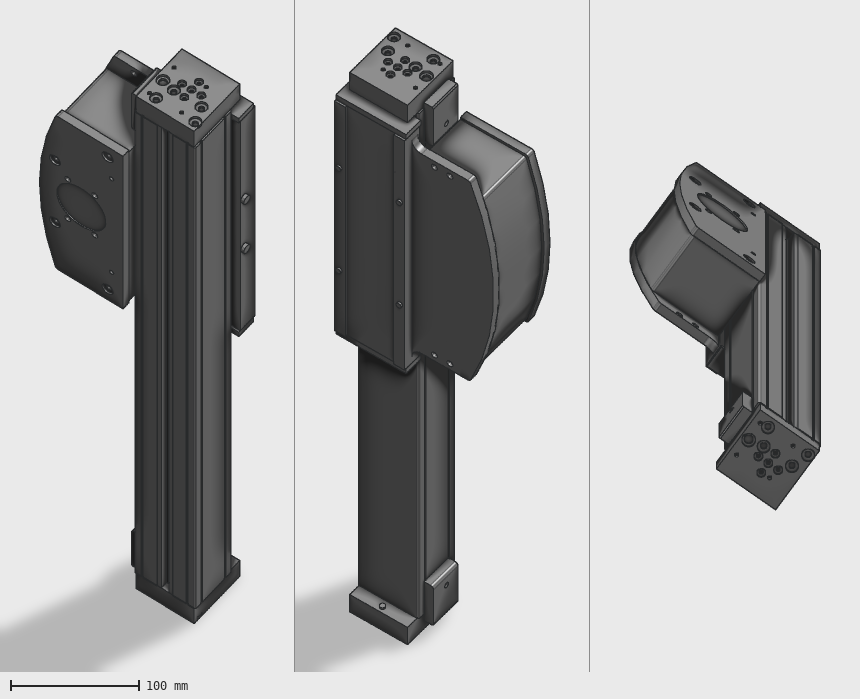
import cadquery as cq


axis_length = 630.0
cap_height = 20.0
cap_width = 57.0
cap_front = 0.5
cap_back = 59.0
rail_width = 60.0
rail_depth = 47.0
rail_length = axis_length - 2 * cap_height
rail_edge_fillet = 2.0
groove_width = 2.0
groove_depth = 1.0
front_groove_offset = 22.0
side_groove_offset = 15.0
slot_land_width = 15.0
slot_land_depth = 0.5
slot_width = 7.5
slot_depth = 7.5
slot_floor_width = 4.0
slot_floor_depth = 2.0
bumper_diameter = 4.9
bumper_length = 2.0
bumper_y = 54.0

cap_hole_depth = 5.0
cap_recess_depth = 2.5
pin_hole_diameter = 3.2
pin_hole_spacing = 31.5
pin_hole_center = (-6.0, 25.0)
cross_hole_diameter = 7.0
cross_bore_diameter = 3.2
cross_hole_spacing = 9.5
cross_center = (2.0, 32.0)
screw_diameter = 10.0
screw_bore_diameter = 5.0
screw_places = [(-9.0, 23.0), (18.0, 23.0), (-15.0, 9.0), (23.0, 9.0)]
large_screw_diameter = 11.0
large_screw_bore_diameter = 7.0
large_screw_place = (-21.5, 26.0)

switch_length = 45.5
switch_outer_end = 302.5
switch_bottom = 9.0
switch_top = 40.5
switch_thickness = 9.5
switch_fillet = 3.0
switch_chamfer = 1.0
switch_hole_diameter = 5.0
switch_hole_depth = 3.0
switch_hole_z = 269.5

carriage_z = 150.0
carriage_length = 268.0
carriage_left = -32.0
carriage_right = 36.5
carriage_bottom = 49.0
carriage_top = 68.0
channel_left = -21.5
channel_right = 26.0
channel_depth = 2.0
bushing_diameter = 5.0
bushing_height = 2.0
bushing_places_x = (-28.0, 31.5)
bushing_offset_z = 60.0
side_pin_diameter = 8.0
side_pin_length = 3.0
side_pin_offset_z = 31.5
side_pin_y = 53.5
wiper_thickness = 5.5
wiper_bottom = rail_depth
wiper_top = carriage_top - channel_depth

arm_thickness = 7.5
arm_bottom = 51.0
arm_half_length = 116.5
arm_root_fillet = 9.5
arm_inset = 2.0
arm_tip_fillet = 3.0
arm_hole_diameter = 5.5
arm_holes_x = (-69.0, -54.0)
arm_hole_offset_z = 109.5

cover_left = -114.0
cover_radius = 304.0
cover_half_length = 97.5
cover_thickness = 7.5
cover_front = -11.5
housing_inset = 2.5
cover_edge_fillet = 3.0
window_x = -73.0
window_diameter = 48.0
window_depth = 1.0
window_screw_diameter = 5.5
window_screw_depth = 3.0
window_screw_offset_x = 13.0
window_screw_offset_z = 25.0
cover_screw_diameter = 11.0
cover_screw_recess = 2.0
cover_bore_diameter = 5.0
cover_screw_places = [(-47.0, 84.5), (-99.0, 40.0)]
dowel_hole_diameter = 4.15
dowel_hole_place = (-43.5, 60.0)

arc_center_x = cover_left + cover_radius
arm_radius = cover_radius - arm_inset
cover_back = cover_front + cover_thickness


def box(x_range, y_range, z_range):
    """Block between the given limits."""
    sizes = [high - low for low, high in (x_range, y_range, z_range)]
    corner = (x_range[0], y_range[0], z_range[0])
    return cq.Workplane("XY").box(*sizes, centered=False).translate(corner)


def rod_y(diameter, x, z, y_start, y_end):
    """Round bar along Y."""
    plane = cq.Workplane("XZ", origin=(x, y_start, z))
    return plane.circle(diameter / 2).extrude(y_start - y_end)


def rod_x(diameter, y, z, x_start, x_end):
    """Round bar along X."""
    plane = cq.Workplane("YZ", origin=(x_start, y, z))
    return plane.circle(diameter / 2).extrude(x_end - x_start)


def bow_plate(radius, half_length, y_start, y_end):
    """Plate with a straight edge along the carriage side and an outer edge bowed about the arc center."""
    tip_x = arc_center_x - (radius**2 - half_length**2) ** 0.5
    outline = (
        cq.Workplane("XZ", origin=(0, y_start, carriage_z))
        .moveTo(carriage_left, -half_length)
        .lineTo(tip_x, -half_length)
        .threePointArc((arc_center_x - radius, 0), (tip_x, half_length))
        .lineTo(carriage_left, half_length)
        .close()
    )
    return outline.extrude(y_start - y_end)


def make_rail():
    half_width = rail_width / 2
    z_range = (-rail_length / 2, rail_length / 2)
    rail = box((-half_width, half_width), (0, rail_depth), z_range).edges("|Z").fillet(rail_edge_fillet)

    steps = [
        (slot_land_width, slot_land_depth),
        (slot_width, slot_depth),
        (slot_floor_width, slot_depth + slot_floor_depth),
    ]
    for width, depth in steps:
        rail = rail.cut(box((-width / 2, width / 2), (0, depth), z_range))

    for side in (-1, 1):
        x = side * front_groove_offset
        rail = rail.cut(box((x - groove_width / 2, x + groove_width / 2), (0, groove_depth), z_range))
        y = rail_depth / 2 + side * side_groove_offset
        y_range = (y - groove_width / 2, y + groove_width / 2)
        rail = rail.cut(box((-half_width, -half_width + groove_depth), y_range, z_range))
        rail = rail.cut(box((half_width - groove_depth, half_width), y_range, z_range))
    return rail


def cap_pin_holes():
    """X, Y places of the four small holes in an end cap."""
    half = pin_hole_spacing / 2
    x_mid, y_mid = pin_hole_center
    return [(x_mid + i * half, y_mid + j * half) for i in (-1, 1) for j in (-1, 1)]


def cap_screw_recesses():
    """Recess diameter, bore diameter and X, Y place of every stepped hole in an end cap."""
    recesses = [(screw_diameter, screw_bore_diameter, place) for place in screw_places]
    recesses.append((large_screw_diameter, large_screw_bore_diameter, large_screw_place))
    for i, j in [(0, 0), (1, 0), (-1, 0), (0, 1), (0, -1)]:
        place = (cross_center[0] + i * cross_hole_spacing, cross_center[1] + j * cross_hole_spacing)
        recesses.append((cross_hole_diameter, cross_bore_diameter, place))
    return recesses


def make_top_cap():
    inner_z = rail_length / 2
    outer_z = axis_length / 2
    cap = box((-cap_width / 2, cap_width / 2), (cap_front, cap_back), (inner_z, outer_z))
    bumper = cq.Workplane("XY", origin=(0, bumper_y, inner_z)).circle(bumper_diameter / 2)
    cap = cap.union(bumper.extrude(-bumper_length))

    face = cq.Workplane("XY", origin=(0, 0, outer_z))
    cap = cap.cut(face.pushPoints(cap_pin_holes()).circle(pin_hole_diameter / 2).extrude(-cap_hole_depth))
    for diameter, bore_diameter, place in cap_screw_recesses():
        spot = face.center(*place)
        cap = cap.cut(spot.circle(diameter / 2).extrude(-cap_recess_depth))
        cap = cap.cut(spot.circle(bore_diameter / 2).extrude(-cap_hole_depth))
    return cap


def make_top_switch():
    x_in = -rail_width / 2
    x_out = x_in - switch_thickness
    z_low = switch_outer_end - switch_length
    switch = box((x_out, x_in), (switch_bottom, switch_top), (z_low, switch_outer_end))
    switch = switch.faces("<Z").edges("<X").fillet(switch_fillet)
    switch = switch.faces(">Z").edges("<X").chamfer(switch_chamfer)
    hole = rod_x(switch_hole_diameter, rail_depth / 2, switch_hole_z, x_out, x_out + switch_hole_depth)
    return switch.cut(hole)


def make_arm():
    """Bowed plate that joins the carriage side with fillets."""
    arm_top = arm_bottom + arm_thickness
    arm = bow_plate(arm_radius, arm_half_length, arm_bottom, arm_top)
    arm = arm.edges("|Y").edges("<X").fillet(arm_tip_fillet)
    for side in (-1, 1):
        edge_z = side * arm_half_length
        root_z = side * (arm_half_length + arm_root_fillet)
        diagonal = arm_root_fillet * (1 - 0.5**0.5)
        web = (
            cq.Workplane("XZ", origin=(0, arm_bottom, carriage_z))
            .moveTo(carriage_left, edge_z)
            .lineTo(carriage_left - arm_root_fillet, edge_z)
            .threePointArc((carriage_left - diagonal, edge_z + side * diagonal), (carriage_left, root_z))
            .close()
            .extrude(-arm_thickness)
        )
        arm = arm.union(web)
        for x in arm_holes_x:
            z = carriage_z + side * arm_hole_offset_z
            arm = arm.cut(rod_y(arm_hole_diameter, x, z, arm_bottom, arm_top))
    return arm


def make_carriage():
    z_range = (carriage_z - carriage_length / 2, carriage_z + carriage_length / 2)
    carriage = box((carriage_left, carriage_right), (carriage_bottom, carriage_top), z_range)
    channel = box((channel_left, channel_right), (carriage_top - channel_depth, carriage_top), z_range)
    carriage = carriage.cut(channel).union(make_arm())
    for side in (-1, 1):
        bushing_z = carriage_z + side * bushing_offset_z
        for x in bushing_places_x:
            bushing = rod_y(bushing_diameter, x, bushing_z, carriage_top, carriage_top + bushing_height)
            carriage = carriage.union(bushing)
        pin_z = carriage_z + side * side_pin_offset_z
        pin_tip = carriage_right + side_pin_length
        carriage = carriage.union(rod_x(side_pin_diameter, side_pin_y, pin_z, carriage_right, pin_tip))
    return carriage


def make_wiper(side):
    """Wiper strip on the carriage end that faces +Z (side 1) or -Z (side -1)."""
    near = carriage_z + side * carriage_length / 2
    far = near + side * wiper_thickness
    z_range = (min(near, far), max(near, far))
    return box((carriage_left, carriage_right), (wiper_bottom, wiper_top), z_range)


def make_housing():
    radius = cover_radius - housing_inset
    housing = bow_plate(radius, cover_half_length - housing_inset, cover_back, arm_bottom)
    return housing.edges("|Y").edges("<X").fillet(cover_edge_fillet)


def make_cover():
    cover = bow_plate(cover_radius, cover_half_length, cover_front, cover_back)
    cover = cover.edges("|Y").edges("<X").fillet(cover_edge_fillet)
    recess = rod_y(window_diameter, window_x, carriage_z, cover_front, cover_front + window_depth)
    cover = cover.cut(recess)
    for side in (-1, 1):
        for x_side in (-1, 1):
            x = window_x + x_side * window_screw_offset_x
            z = carriage_z + side * window_screw_offset_z
            cover = cover.cut(rod_y(window_screw_diameter, x, z, cover_front, cover_front + window_screw_depth))
        for x, offset in cover_screw_places:
            z = carriage_z + side * offset
            cover = cover.cut(rod_y(cover_screw_diameter, x, z, cover_front, cover_front + cover_screw_recess))
            cover = cover.cut(rod_y(cover_bore_diameter, x, z, cover_front, cover_back))
        x, offset = dowel_hole_place
        cover = cover.cut(rod_y(dowel_hole_diameter, x, carriage_z + side * offset, cover_front, cover_back))
    return cover


rail = make_rail()
carriage = make_carriage()
housing = make_housing()
cover = make_cover()
wipers = [make_wiper(side) for side in (-1, 1)]

end_parts = []
for end_part in (make_top_cap(), make_top_switch()):
    end_parts += [end_part, end_part.mirror("XY")]

bodies = [rail, carriage, housing, cover, *wipers, *end_parts]
result = cq.Compound.makeCompound([body.val() for body in bodies])